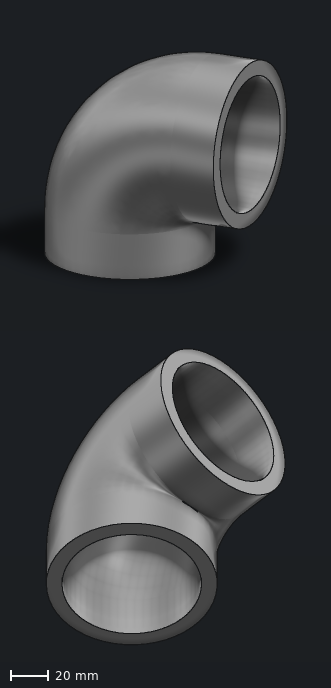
import cadquery as cq

overall_length = 117.5
outer_diameter = 92.0
bore_diameter = 75.0
bend_angle = 90

bend_radius = outer_diameter / 2
collar_length = overall_length - outer_diameter


def elbow_solid(diameter):
    """Quarter bend with a straight collar at each end, all of one diameter."""
    lower_collar = (
        cq.Workplane("XY")
        .center(-bend_radius, 0)
        .circle(diameter / 2)
        .extrude(-collar_length)
    )
    bend = (
        cq.Workplane("XY")
        .center(-bend_radius, 0)
        .circle(diameter / 2)
        .revolve(bend_angle, (bend_radius, 0, 0), (bend_radius, 1, 0))
    )
    side_collar = (
        cq.Workplane("YZ")
        .center(0, bend_radius)
        .circle(diameter / 2)
        .extrude(collar_length)
    )
    return lower_collar.union(bend).union(side_collar)


body = elbow_solid(outer_diameter)
bore = elbow_solid(bore_diameter)
result = body.cut(bore)